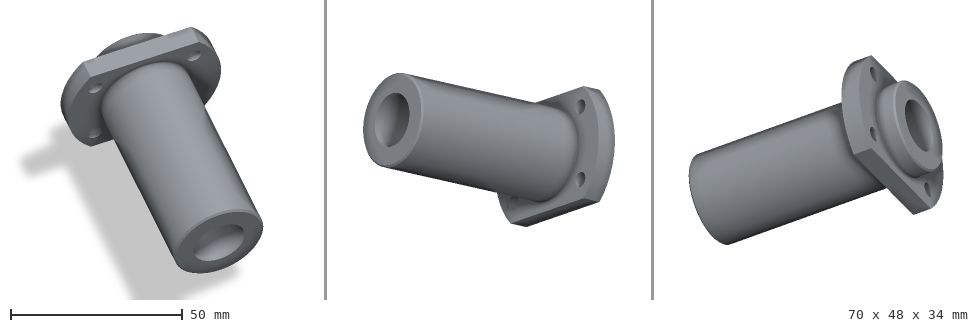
import cadquery as cq

length = 70.0
body_diameter = 28.0
bore_diameter = 16.0
end_chamfer = 0.55

flange_start = 6.0
flange_thickness = 6.0
flange_diameter = 48.0
flange_height = 34.0
root_fillet = 0.3

hole_diameter = 4.5
hole_spacing_y = 31.0
hole_spacing_z = 22.0


def cylinder_along_x(diameter, start, span):
    return cq.Workplane("YZ", origin=(start, 0, 0)).circle(diameter / 2).extrude(span)


def make_sleeve():
    return cylinder_along_x(body_diameter, 0, length).edges().chamfer(end_chamfer)


def make_flange():
    disc = cylinder_along_x(flange_diameter, flange_start, flange_thickness)
    flats = (
        cq.Workplane("YZ", origin=(flange_start, 0, 0))
        .rect(flange_diameter, flange_height)
        .extrude(flange_thickness)
    )
    holes = (
        cq.Workplane("YZ", origin=(flange_start, 0, 0))
        .rect(hole_spacing_y, hole_spacing_z, forConstruction=True)
        .vertices()
        .circle(hole_diameter / 2)
        .extrude(flange_thickness)
    )
    return disc.intersect(flats).cut(holes)


def fillet_flange_roots(part):
    flange_end = flange_start + flange_thickness
    reach = body_diameter / 2 + root_fillet
    for face_x in (flange_start, flange_end):
        corner = (face_x - root_fillet, -reach, -reach)
        opposite = (face_x + root_fillet, reach, reach)
        root_edge = cq.selectors.BoxSelector(corner, opposite, boundingbox=True)
        part = part.edges(root_edge).edges(cq.selectors.RadiusNthSelector(-1)).fillet(root_fillet)
    return part


bore = cylinder_along_x(bore_diameter, 0, length)
result = fillet_flange_roots(make_sleeve().union(make_flange())).cut(bore)